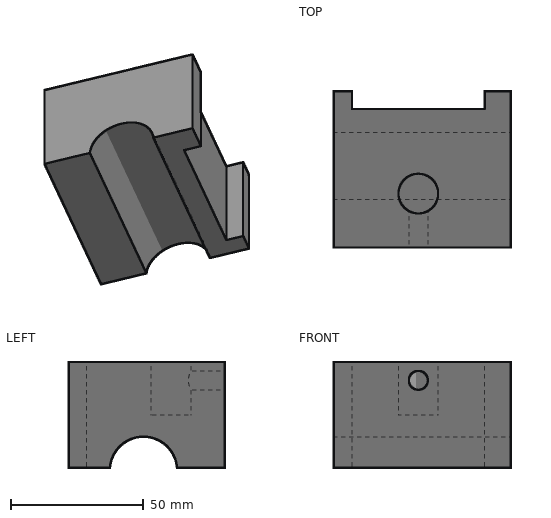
import cadquery as cq

length = 67.0
width = 59.0
height = 40.0

notch_left = 7.05
notch_right = 57.0
notch_depth = 6.7

saddle_radius = 12.65
saddle_y = 30.75
saddle_rise = 11.7

bore_x = 32.0
bore_y = 20.4
bore_diameter = 15.0
bore_depth = 20.1
cross_hole_diameter = 7.2
cross_hole_drop = 7.0

block = cq.Workplane("XY").box(length, width, height, centered=False)

notch = (
    cq.Workplane("XY")
    .box(notch_right - notch_left, notch_depth, height, centered=False)
    .translate((notch_left, width - notch_depth, 0))
)

saddle = (
    cq.Workplane("YZ")
    .center(saddle_y, saddle_rise - saddle_radius)
    .circle(saddle_radius)
    .extrude(length)
)

bore = (
    cq.Workplane("XY", origin=(bore_x, bore_y, height))
    .circle(bore_diameter / 2)
    .extrude(-bore_depth)
)

cross_hole = (
    cq.Workplane("XZ", origin=(bore_x, 0, height - cross_hole_drop))
    .circle(cross_hole_diameter / 2)
    .extrude(-bore_y)
)

result = block.cut(notch).cut(saddle).cut(bore).cut(cross_hole)